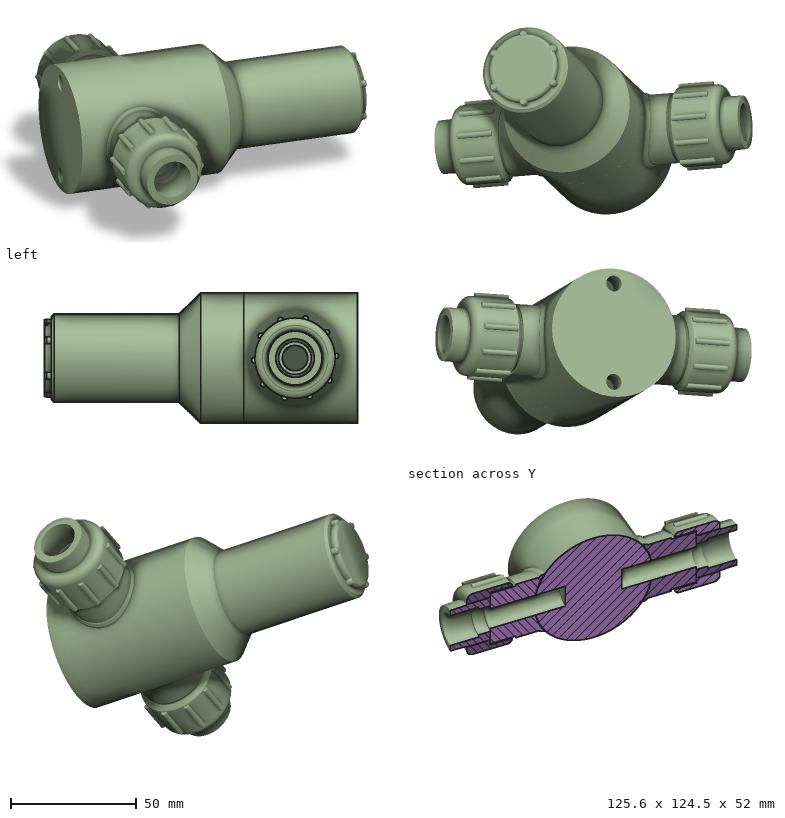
import cadquery as cq


body_dia = 52.0
body_radius = body_dia / 2
lower_front_y = -24.9
joint_y = 20.3
mount_hole_dia = 6.4
mount_hole_offset = 20.0
mount_hole_depth = 10.0
passage_dia = 10.0
passage_end_x = 12.5

cone_start_y = 37.4
cone_end_y = 46.1
neck_dia = 35.2
neck_chamfer = 1.1
neck_end_y = 96.8

knob_dia = 28.0
knob_height = 2.8
knob_fillet = 1.4
grip_count = 6
grip_radius = 1.5
grip_bevel_height = 0.9
grip_bevel_width = 0.4

socket_dia = 28.0
socket_end_x = 34.2
collar_dia = 26.5
collar_end_x = 45.2
weld_dia = 29.9
weld_thickness = 1.6
weld_chamfer_radial = 0.9
weld_chamfer_axial = 0.6

nut_dia = 31.9
nut_bore_dia = 27.0
nut_inner_x = 35.4
nut_outer_x = 55.5
nut_fillet = 2.9
nut_chamfer_axial = 1.6
nut_chamfer_radial = 1.4
rib_count = 10
rib_phase = -3.0
rib_radius = 1.1
rib_circle_dia = 32.4
rib_inner_x = 37.3
rib_outer_x = 51.4

spigot_dia = 21.8
spigot_tip_dia = 21.3
spigot_tip_x = 62.8
pipe_bore_dia = 15.3
pipe_stop_x = 50.2
spigot_throat_dia = 13.0


def rod_y(diameter, start, end, z=0.0):
    """Cylinder along Y from start to end, at height z."""
    axis_point = cq.Vector(0, start, z)
    return cq.Workplane(cq.Solid.makeCylinder(diameter / 2, end - start, axis_point, cq.Vector(0, 1, 0)))


def rod_x(diameter, start, end):
    """Cylinder around the X axis from start to end."""
    axis_point = cq.Vector(start, 0, 0)
    return cq.Workplane(cq.Solid.makeCylinder(diameter / 2, end - start, axis_point, cq.Vector(1, 0, 0)))


def on_both_sides(half):
    """Solids of the +X body and of its mirror image on the -X side."""
    return [half.solids().val(), half.mirror("YZ").solids().val()]


def make_lower_body():
    body = rod_y(body_dia, lower_front_y, joint_y)
    for z in (-mount_hole_offset, mount_hole_offset):
        body = body.cut(rod_y(mount_hole_dia, lower_front_y, lower_front_y + mount_hole_depth, z=z))
    passage = rod_x(passage_dia, passage_end_x, body_radius)
    return body.cut(passage).cut(passage.mirror("YZ"))


def make_upper_body():
    neck_radius = neck_dia / 2
    return (
        cq.Workplane("XY")
        .moveTo(0, joint_y)
        .lineTo(body_radius, joint_y)
        .lineTo(body_radius, cone_start_y)
        .lineTo(neck_radius, cone_end_y)
        .lineTo(neck_radius, neck_end_y - neck_chamfer)
        .lineTo(neck_radius - neck_chamfer, neck_end_y)
        .lineTo(0, neck_end_y)
        .close()
        .revolve(360, (0, 0), (0, 1))
    )


def make_knob():
    top_y = neck_end_y + knob_height
    knob = rod_y(knob_dia, neck_end_y, top_y).faces(">Y").edges().fillet(knob_fillet)
    grip = (
        rod_y(2 * grip_radius, neck_end_y, top_y, z=knob_dia / 2)
        .faces(">Y")
        .edges()
        .chamfer(grip_bevel_height, grip_bevel_width)
    )
    for i in range(grip_count):
        knob = knob.union(grip.rotate((0, 0, 0), (0, 1, 0), i * 360 / grip_count))
    return knob


def make_weld():
    """Bevelled saddle ring of constant thickness around the foot of the socket."""
    reach = weld_dia
    saddle_dia = body_dia + 2 * weld_thickness
    ring = rod_x(weld_dia, 0, socket_end_x).intersect(rod_y(saddle_dia, -reach, reach))
    return ring.faces(">X").edges().chamfer(weld_chamfer_radial, weld_chamfer_axial)


def make_socket():
    socket = rod_x(socket_dia, 0, socket_end_x).union(make_weld())
    socket = socket.union(rod_x(collar_dia, 0, collar_end_x))
    socket = socket.cut(rod_y(body_dia, lower_front_y, joint_y))
    return socket.cut(rod_x(passage_dia, 0, collar_end_x))


def make_nut():
    nut = rod_x(nut_dia, nut_inner_x, nut_outer_x)
    nut = nut.faces(">X").edges().fillet(nut_fillet)
    nut = nut.faces("<X").edges().chamfer(nut_chamfer_radial, nut_chamfer_axial)
    rib = rod_x(2 * rib_radius, rib_inner_x, rib_outer_x).translate((0, rib_circle_dia / 2, 0))
    for i in range(rib_count):
        nut = nut.union(rib.rotate((0, 0, 0), (1, 0, 0), rib_phase + i * 360 / rib_count))
    nut = nut.cut(rod_x(nut_bore_dia, nut_inner_x, collar_end_x))
    return nut.cut(rod_x(spigot_dia, collar_end_x, nut_outer_x))


def make_spigot():
    spigot = (
        cq.Workplane("XY")
        .moveTo(collar_end_x, 0)
        .lineTo(collar_end_x, spigot_dia / 2)
        .lineTo(nut_outer_x, spigot_dia / 2)
        .lineTo(spigot_tip_x, spigot_tip_dia / 2)
        .lineTo(spigot_tip_x, 0)
        .close()
        .revolve(360, (0, 0), (1, 0))
    )
    spigot = spigot.cut(rod_x(spigot_throat_dia, collar_end_x, pipe_stop_x))
    return spigot.cut(rod_x(pipe_bore_dia, pipe_stop_x, spigot_tip_x))


lower_body = make_lower_body().solids()
upper_body = make_upper_body().solids()
knob = make_knob().solids()
sockets = on_both_sides(make_socket())
nuts = on_both_sides(make_nut())
spigots = on_both_sides(make_spigot())

result = cq.Compound.makeCompound(
    [lower_body.val(), upper_body.val(), knob.val(), *sockets, *nuts, *spigots]
)